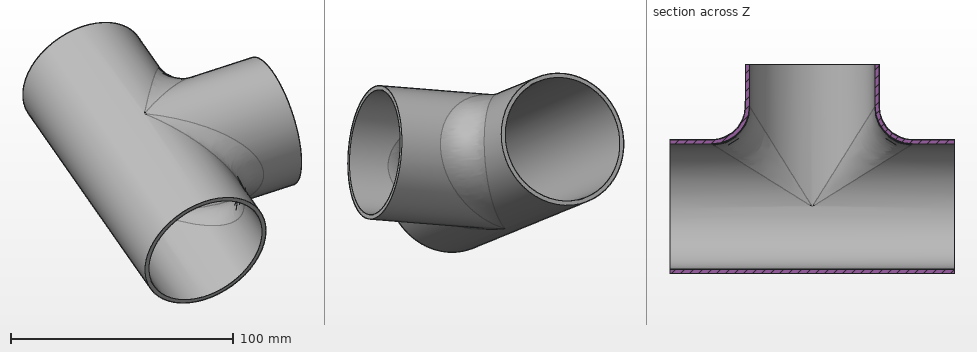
import cadquery as cq
import math

run_length = 128.0
outer_radius = 60.3 / 2
bore_radius = 56.3 / 2
branch_length = run_length / 2

blend_reach = 45.0

blend_sections = 9
tip_angle = 1.0


def crossed_cylinders(radius):
    """Solid run and branch cylinders of one radius, meeting at the origin."""
    run = cq.Workplane("YZ").circle(radius).extrude(run_length / 2, both=True)
    branch = cq.Workplane("XZ").circle(radius).extrude(-branch_length)
    return run.union(branch)


def blend_section(radius, arc_angle):
    """Upright half-ellipse section, reaching from near the Z axis to a point of the mid-height fillet arc."""
    fillet_radius = blend_reach - radius
    reach_x = blend_reach - fillet_radius * math.sin(arc_angle)
    reach_y = blend_reach - fillet_radius * math.cos(arc_angle)

    center = cq.Vector(0, 0, 0)
    outward = cq.Vector(reach_x, reach_y, 0)
    normal = outward.cross(cq.Vector(0, 0, 1))
    end_angle = 90.0 - tip_angle
    rim = cq.Edge.makeEllipse(
        outward.Length, radius, center, normal, outward, 360.0 - end_angle, end_angle, 1
    )
    chord = cq.Edge.makeLine(rim.endPoint(), rim.startPoint())
    return cq.Wire.assembleEdges([rim, chord])


def corner_blend(radius):
    """Wedge filling the +X corner between the run and the branch out to the fillet surface."""
    angle_step = math.pi / 2 / (blend_sections - 1)
    sections = [blend_section(radius, index * angle_step) for index in range(blend_sections)]
    return cq.Workplane(obj=cq.Solid.makeLoft(sections))


def blended_tee(radius):
    """Solid tee of one radius with a blend in both corners."""
    blend = corner_blend(radius)
    return crossed_cylinders(radius).union(blend).union(blend.mirror("YZ"))


result = blended_tee(outer_radius).cut(blended_tee(bore_radius))